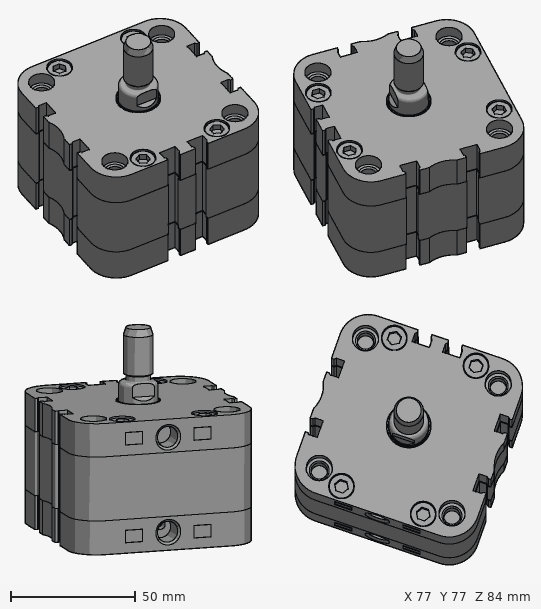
import cadquery as cq
import math


body_width = 77.0
body_corner_radius = 12.0
rear_cover_height = 14.0
front_cover_height = 13.7
body_height = 54.0
half_width = body_width / 2
barrel_base = rear_cover_height
front_cover_base = body_height - front_cover_height
barrel_height = front_cover_base - barrel_base

slot_offset_on_y_sides = 13.0
slot_offset_on_x_side = 6.5
slot_neck_half_width = 2.65
slot_half_width = 3.35
slot_neck_depth = 1.3
slot_depth = 5.05
cover_slot_clearance = 0.3
barrel_edge_radius = 0.3

scallop_half_width = 5.93
scallop_depth = 1.35

mount_spacing = 56.5
mount_counterbore_diameter = 10.5
mount_counterbore_depth = 5.0
mount_thread_diameter = 8.0
mount_hole_diameter = 6.65
mount_hole_depth = 11.0

screw_x = 32.25
screw_y = 17.4
screw_recess_diameter = 10.3
screw_head_diameter = 9.8
screw_head_sink = 0.6
screw_gap_depth = 1.2
hex_across_flats = 5.0
hex_depth = 2.5

port_offset = 7.5
port_mouth_diameter = 10.5
port_diameter = 8.57
port_depth = 10.0
passage_diameter = 4.0
passage_rise = 1.1
passage_length = 4.0

label_y = 14.5
label_offset = 6.9
label_width = 7.2
label_height = 5.1
label_depth = 0.3

rod_diameter = 16.0
rod_reach = 30.0
collar_height = 8.1
collar_edge_radius = 1.7
neck_diameter = 10.0
neck_fillet = 0.4
thread_diameter = 12.0
thread_start = 10.5
thread_start_chamfer = 0.6
tip_diameter = 10.0
tip_length = 3.0
flats_width = 13.0
flats_base = 2.7
wiper_groove_diameter = 18.0
wiper_lip_diameter = 17.7
wiper_bore_diameter = 16.54
wiper_groove_depth = 0.5
wiper_bore_depth = 0.8


def slot_outline(clearance):
    """Half-symmetric T-slot profile, with the slot opening at y = 0 and its floor towards -Y."""
    neck = slot_neck_half_width + clearance
    wide = slot_half_width + clearance
    shoulder = slot_neck_depth - clearance / 2
    shoulder_end = shoulder + wide - neck
    floor = slot_depth + clearance
    return (
        cq.Workplane("XY")
        .moveTo(-neck, 1)
        .lineTo(-neck, -shoulder)
        .lineTo(-wide, -shoulder_end)
        .lineTo(-wide, -floor)
        .lineTo(wide, -floor)
        .lineTo(wide, -shoulder_end)
        .lineTo(neck, -shoulder)
        .lineTo(neck, 1)
        .close()
    )


def scallop_cutter(height):
    """Round bar that cuts the shallow groove, placed for a surface at y = 0."""
    radius = (scallop_half_width**2 + scallop_depth**2) / (2 * scallop_depth)
    return cq.Workplane("XY").center(0, radius - scallop_depth).circle(radius).extrude(height)


def body_section(height, slot_clearance):
    """One slice of the cylinder body, standing on z = 0."""
    section = cq.Workplane("XY").rect(body_width, body_width).extrude(height)
    section = section.edges("|Z").fillet(body_corner_radius)
    slot = slot_outline(slot_clearance).extrude(height)
    scallop = scallop_cutter(height).translate((0, half_width, 0))
    for turn in (0, 180):
        section = section.cut(scallop.rotate((0, 0, 0), (0, 0, 1), turn))
    for side in (-1, 1):
        top_slot = slot.translate((side * slot_offset_on_y_sides, half_width, 0))
        section = section.cut(top_slot)
        section = section.cut(top_slot.mirror("XZ"))
        edge_slot = slot.translate((side * slot_offset_on_x_side, half_width, 0))
        section = section.cut(edge_slot.rotate((0, 0, 0), (0, 0, 1), -90))
    return section


def port(centre_z):
    """Cutter for a chamfered port that goes in from the -X side."""
    mouth_radius = port_mouth_diameter / 2
    bore_radius = port_diameter / 2
    mouth_depth = mouth_radius - bore_radius
    return (
        cq.Workplane("XY")
        .lineTo(0, mouth_radius)
        .lineTo(mouth_depth, bore_radius)
        .lineTo(port_depth, bore_radius)
        .lineTo(port_depth, 0)
        .close()
        .revolve(360, (0, 0, 0), (1, 0, 0))
        .translate((-half_width, 0, centre_z))
    )


def labels(centre_z):
    """Cutter for the two shallow rectangular label recesses on the -X side."""
    return (
        cq.Workplane("YZ", origin=(-half_width, 0, centre_z))
        .pushPoints([(-label_y, 0), (label_y, 0)])
        .rect(label_width, label_height)
        .extrude(label_depth)
    )


def mounting_hole():
    """Counterbored, countersunk blind hole going down from z = 0."""
    counterbore_radius = mount_counterbore_diameter / 2
    thread_radius = mount_thread_diameter / 2
    hole_radius = mount_hole_diameter / 2
    countersink_end = mount_counterbore_depth + thread_radius - hole_radius
    return (
        cq.Workplane("XZ")
        .lineTo(counterbore_radius, 0)
        .lineTo(counterbore_radius, -mount_counterbore_depth)
        .lineTo(thread_radius, -mount_counterbore_depth)
        .lineTo(hole_radius, -countersink_end)
        .lineTo(hole_radius, -mount_hole_depth)
        .lineTo(0, -mount_hole_depth)
        .close()
        .revolve(360, (0, 0, 0), (0, 1, 0))
    )


def screw_recess(hex_turn):
    """Cutter that leaves a sunk socket screw head, going down from z = 0."""
    sink = cq.Workplane("XY").circle(screw_recess_diameter / 2).extrude(-screw_head_sink)
    gap = (
        cq.Workplane("XY")
        .circle(screw_recess_diameter / 2)
        .circle(screw_head_diameter / 2)
        .extrude(-screw_gap_depth)
    )
    hex_corner_diameter = hex_across_flats / math.cos(math.pi / 6)
    socket = (
        cq.Workplane("XY")
        .polygon(6, hex_corner_diameter)
        .extrude(-screw_head_sink - hex_depth)
        .rotate((0, 0, 0), (0, 0, 1), hex_turn)
    )
    return sink.union(gap).union(socket)


def rod_opening():
    """Cutter for the rod bore and the fine groove round its lip, going down from z = 0."""
    rod_bore = cq.Workplane("XY").circle(rod_diameter / 2).extrude(-front_cover_height)
    wiper_bore = cq.Workplane("XY").circle(wiper_bore_diameter / 2).extrude(-wiper_bore_depth)
    groove = (
        cq.Workplane("XY")
        .circle(wiper_groove_diameter / 2)
        .circle(wiper_lip_diameter / 2)
        .extrude(-wiper_groove_depth)
    )
    return rod_bore.union(wiper_bore).union(groove)


def make_rear_cover():
    cover = body_section(rear_cover_height, cover_slot_clearance)
    cover = cover.cut(port(port_offset))
    passage = (
        cq.Workplane("YZ", origin=(port_depth - half_width, 0, port_offset + passage_rise))
        .circle(passage_diameter / 2)
        .extrude(passage_length)
    )
    return cover.cut(passage).cut(labels(label_offset))


def make_barrel():
    barrel = body_section(barrel_height, 0)
    edge_xs = [slot_offset_on_y_sides + side * slot_neck_half_width for side in (-1, 1)]
    edge_xs.append(scallop_half_width)
    y_side_edges = [
        (x_side * x, y_side * half_width)
        for x in edge_xs
        for x_side in (-1, 1)
        for y_side in (-1, 1)
    ]
    x_side_edges = [
        (half_width, slot_side * slot_offset_on_x_side + neck_side * slot_neck_half_width)
        for slot_side in (-1, 1)
        for neck_side in (-1, 1)
    ]
    for x, y in y_side_edges + x_side_edges:
        corner = cq.selectors.NearestToPointSelector((x, y, barrel_height / 2))
        barrel = barrel.edges(corner).fillet(barrel_edge_radius)
    return barrel.translate((0, 0, barrel_base))


def make_front_cover():
    cover = body_section(front_cover_height, cover_slot_clearance).translate((0, 0, front_cover_base))
    for x_side in (-1, 1):
        hex_turn = 30 if x_side < 0 else 0
        for y_side in (-1, 1):
            mount_place = (x_side * mount_spacing / 2, y_side * mount_spacing / 2, body_height)
            cover = cover.cut(mounting_hole().translate(mount_place))
            screw_place = (x_side * screw_x, y_side * screw_y, body_height)
            cover = cover.cut(screw_recess(hex_turn).translate(screw_place))
    cover = cover.cut(rod_opening().translate((0, 0, body_height)))
    return cover.cut(port(body_height - port_offset)).cut(labels(body_height - label_offset))


def make_piston_rod():
    rod_radius = rod_diameter / 2
    neck_radius = neck_diameter / 2
    thread_radius = thread_diameter / 2
    arc_step = collar_edge_radius * (1 - math.sqrt(0.5))
    neck_arc_step = neck_fillet * (1 - math.sqrt(0.5))
    rod = (
        cq.Workplane("XZ")
        .moveTo(0, -front_cover_height)
        .lineTo(rod_radius, -front_cover_height)
        .lineTo(rod_radius, collar_height - collar_edge_radius)
        .threePointArc(
            (rod_radius - arc_step, collar_height - arc_step),
            (rod_radius - collar_edge_radius, collar_height),
        )
        .lineTo(neck_radius + neck_fillet, collar_height)
        .threePointArc(
            (neck_radius + neck_arc_step, collar_height + neck_arc_step),
            (neck_radius, collar_height + neck_fillet),
        )
        .lineTo(neck_radius, thread_start)
        .lineTo(thread_radius, thread_start + thread_start_chamfer)
        .lineTo(thread_radius, rod_reach - tip_length)
        .lineTo(tip_diameter / 2, rod_reach)
        .lineTo(0, rod_reach)
        .close()
        .revolve(360, (0, 0, 0), (0, 1, 0))
    )
    flat_x = flats_width / 2
    runout = rod_radius - flat_x
    flat = (
        cq.Workplane("XZ")
        .moveTo(flat_x, flats_base)
        .lineTo(rod_radius, flats_base - runout)
        .lineTo(rod_radius, collar_height)
        .lineTo(flat_x, collar_height)
        .close()
        .extrude(rod_radius, both=True)
    )
    rod = rod.cut(flat).cut(flat.mirror("YZ"))
    return rod.translate((0, 0, body_height))


rear_cover = make_rear_cover()
barrel = make_barrel()
front_cover = make_front_cover()
piston_rod = make_piston_rod()

result = cq.Compound.makeCompound(
    [rear_cover.val(), barrel.val(), front_cover.val(), piston_rod.val()]
)